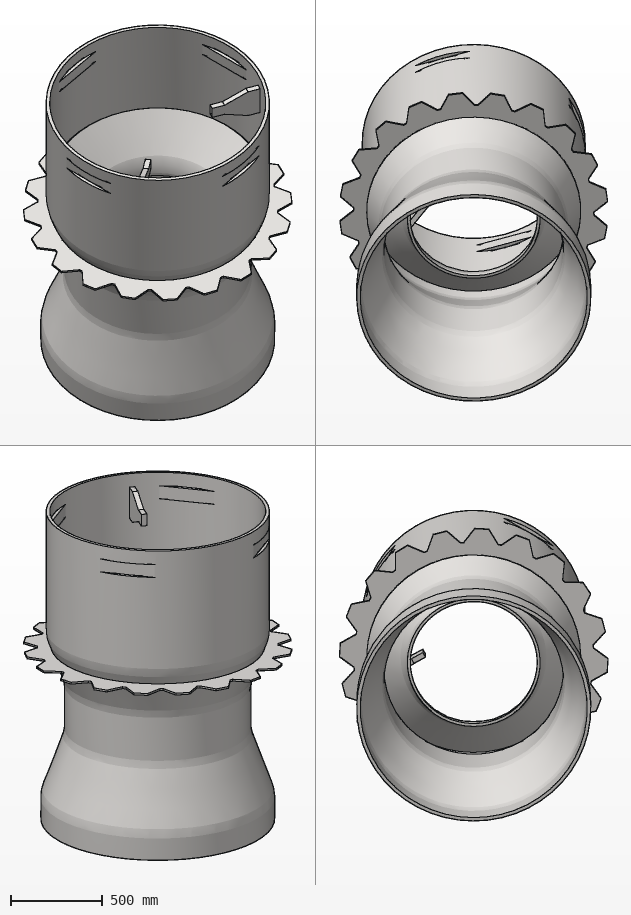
import cadquery as cq
import math

HEIGHT = 1800.0
TOP_RADIUS = 1220.0 / 2
TOP_BORE_RADIUS = 1180.0 / 2
NECK_RADIUS = 1020.0 / 2
BASE_RADIUS = 1280.0 / 2
WALL = TOP_RADIUS - TOP_BORE_RADIUS
CONE_ANGLE = math.radians(20)
BASE_CORNER_Z = 153.0
TOP_CORNER_Z = 1082.0
BEND_RADIUS = 150.0
LOWER_CONE_HEIGHT = (BASE_RADIUS - NECK_RADIUS) / math.tan(CONE_ANGLE)
UPPER_CONE_HEIGHT = (TOP_RADIUS - NECK_RADIUS) / math.tan(CONE_ANGLE)

PANEL_WIDTH = 310.0
PANEL_HEIGHT = 75.0
PANEL_BOTTOM_Z = 1645.0
PANEL_COUNT = 4

RING_THICKNESS = 10.0
RING_BORE_RADIUS = 1170.0 / 2
TOOTH_COUNT = 20
TOOTH_ROOT_RADIUS = 657.0
TOOTH_TIP_RADIUS = 735.0
TOOTH_TIP_HALF_ANGLE = math.radians(3)
TOOTH_ROOT_HALF_ANGLE = math.radians(0.8)
RING_TOP_Z = TOP_CORNER_Z - (TOP_RADIUS - RING_BORE_RADIUS) / math.tan(CONE_ANGLE)

FUNNEL_BORE_RADIUS = 693.0 / 2
FUNNEL_OUTER_RADIUS = 725.0 / 2
FUNNEL_WALL = FUNNEL_OUTER_RADIUS - FUNNEL_BORE_RADIUS
FUNNEL_SLOPE = math.radians(43)
FUNNEL_RIM_Z = 1186.0
FUNNEL_BEND_RADIUS = 128.0
FUNNEL_SPOUT_LENGTH = 72.0

VANE_THICKNESS = 30.0
VANE_ANGLES = (-60, 60)
VANE_TIP_RADIUS = 311.0
VANE_SLOPE_INNER_RADIUS = 383.0
VANE_SLOPE_OUTER_RADIUS = 520.0
VANE_MIDDLE_Z = 1630.0
VANE_TIP_HEIGHT = 68.0
VANE_ROOT_HEIGHT = 180.0


def waisted_solid(inset):
    """Solid of revolution whose surface lies `inset` inside the housing's outer surface."""
    corner_shift = inset * math.tan(CONE_ANGLE / 2)
    base_corner_z = BASE_CORNER_Z - corner_shift
    neck_bottom_z = base_corner_z + LOWER_CONE_HEIGHT
    top_corner_z = TOP_CORNER_Z + corner_shift
    neck_top_z = top_corner_z - UPPER_CONE_HEIGHT
    solid = (
        cq.Workplane("XZ")
        .polyline([
            (0, 0),
            (BASE_RADIUS - inset, 0),
            (BASE_RADIUS - inset, base_corner_z),
            (NECK_RADIUS - inset, neck_bottom_z),
            (NECK_RADIUS - inset, neck_top_z),
            (TOP_RADIUS - inset, top_corner_z),
            (TOP_RADIUS - inset, HEIGHT),
            (0, HEIGHT),
        ])
        .close()
        .revolve(360, (0, 0), (0, 1))
    )
    convex_radius = BEND_RADIUS - inset
    concave_radius = BEND_RADIUS - WALL + inset
    bends = [
        (base_corner_z, convex_radius),
        (neck_bottom_z, concave_radius),
        (neck_top_z, concave_radius),
        (top_corner_z, convex_radius),
    ]
    for z, radius in bends:
        solid = solid.edges(cq.selectors.NearestToPointSelector((0, 0, z))).fillet(radius)
    return solid


def panel_block(near, far):
    """Block as wide and high as a panel, reaching from `near` to `far` along +X."""
    return (
        cq.Workplane("XY", origin=(0, 0, PANEL_BOTTOM_Z))
        .center((near + far) / 2, 0)
        .rect(far - near, PANEL_WIDTH)
        .extrude(PANEL_HEIGHT)
    )


def make_housing():
    tube = waisted_solid(0).cut(waisted_solid(WALL))
    panel_outside = math.sqrt(TOP_RADIUS**2 - (PANEL_WIDTH / 2) ** 2)
    panel_inside = math.sqrt(TOP_BORE_RADIUS**2 - (PANEL_WIDTH / 2) ** 2)
    window = panel_block(panel_inside, TOP_RADIUS + WALL)
    panel = panel_block(panel_inside, panel_outside)
    for i in range(PANEL_COUNT):
        angle = i * 360 / PANEL_COUNT
        tube = tube.cut(window.rotate((0, 0, 0), (0, 0, 1), angle))
        tube = tube.union(panel.rotate((0, 0, 0), (0, 0, 1), angle))
    return tube


def make_ring():
    pitch = 2 * math.pi / TOOTH_COUNT
    outline = []
    for i in range(TOOTH_COUNT):
        root = i * pitch
        middle = root + pitch / 2
        corners = [
            (TOOTH_ROOT_RADIUS, root - TOOTH_ROOT_HALF_ANGLE),
            (TOOTH_ROOT_RADIUS, root + TOOTH_ROOT_HALF_ANGLE),
            (TOOTH_TIP_RADIUS, middle - TOOTH_TIP_HALF_ANGLE),
            (TOOTH_TIP_RADIUS, middle + TOOTH_TIP_HALF_ANGLE),
        ]
        outline += [(radius * math.cos(a), radius * math.sin(a)) for radius, a in corners]
    return (
        cq.Workplane("XY", origin=(0, 0, RING_TOP_Z - RING_THICKNESS))
        .polyline(outline)
        .close()
        .extrude(RING_THICKNESS)
        .cut(cq.Workplane("XY").circle(RING_BORE_RADIUS).extrude(HEIGHT))
    )


def make_funnel():
    rim_bore_radius = TOP_BORE_RADIUS - FUNNEL_WALL * math.sin(FUNNEL_SLOPE)
    rim_top_z = FUNNEL_RIM_Z + FUNNEL_WALL * math.cos(FUNNEL_SLOPE)
    bore_corner_z = rim_top_z - (rim_bore_radius - FUNNEL_BORE_RADIUS) * math.tan(FUNNEL_SLOPE)
    outer_corner_z = FUNNEL_RIM_Z - (TOP_BORE_RADIUS - FUNNEL_OUTER_RADIUS) * math.tan(FUNNEL_SLOPE)
    outlet_z = bore_corner_z - FUNNEL_SPOUT_LENGTH
    funnel = (
        cq.Workplane("XZ")
        .polyline([
            (FUNNEL_BORE_RADIUS, outlet_z),
            (FUNNEL_OUTER_RADIUS, outlet_z),
            (FUNNEL_OUTER_RADIUS, outer_corner_z),
            (TOP_BORE_RADIUS, FUNNEL_RIM_Z),
            (rim_bore_radius, rim_top_z),
            (FUNNEL_BORE_RADIUS, bore_corner_z),
        ])
        .close()
        .revolve(360, (0, 0), (0, 1))
    )
    bends = [
        (bore_corner_z, FUNNEL_BEND_RADIUS),
        (outer_corner_z, FUNNEL_BEND_RADIUS - FUNNEL_WALL),
    ]
    for z, radius in bends:
        funnel = funnel.edges(cq.selectors.NearestToPointSelector((0, 0, z))).fillet(radius)
    return funnel


def make_vane(angle):
    half_tip = VANE_TIP_HEIGHT / 2
    half_root = VANE_ROOT_HEIGHT / 2
    blade = (
        cq.Workplane("XZ", origin=(0, VANE_THICKNESS / 2, VANE_MIDDLE_Z))
        .polyline([
            (VANE_TIP_RADIUS, -half_tip),
            (VANE_SLOPE_INNER_RADIUS, -half_tip),
            (VANE_SLOPE_OUTER_RADIUS, -half_root),
            (TOP_RADIUS, -half_root),
            (TOP_RADIUS, half_root),
            (VANE_SLOPE_OUTER_RADIUS, half_root),
            (VANE_SLOPE_INNER_RADIUS, half_tip),
            (VANE_TIP_RADIUS, half_tip),
        ])
        .close()
        .extrude(VANE_THICKNESS)
    )
    bore = cq.Workplane("XY").circle(TOP_BORE_RADIUS).extrude(HEIGHT)
    return blade.intersect(bore).rotate((0, 0, 0), (0, 0, 1), angle)


housing = make_housing()
ring = make_ring()
funnel = make_funnel()
vanes = [make_vane(angle) for angle in VANE_ANGLES]

result = cq.Compound.makeCompound(
    [housing.val(), ring.val(), funnel.val(), *[vane.val() for vane in vanes]]
)